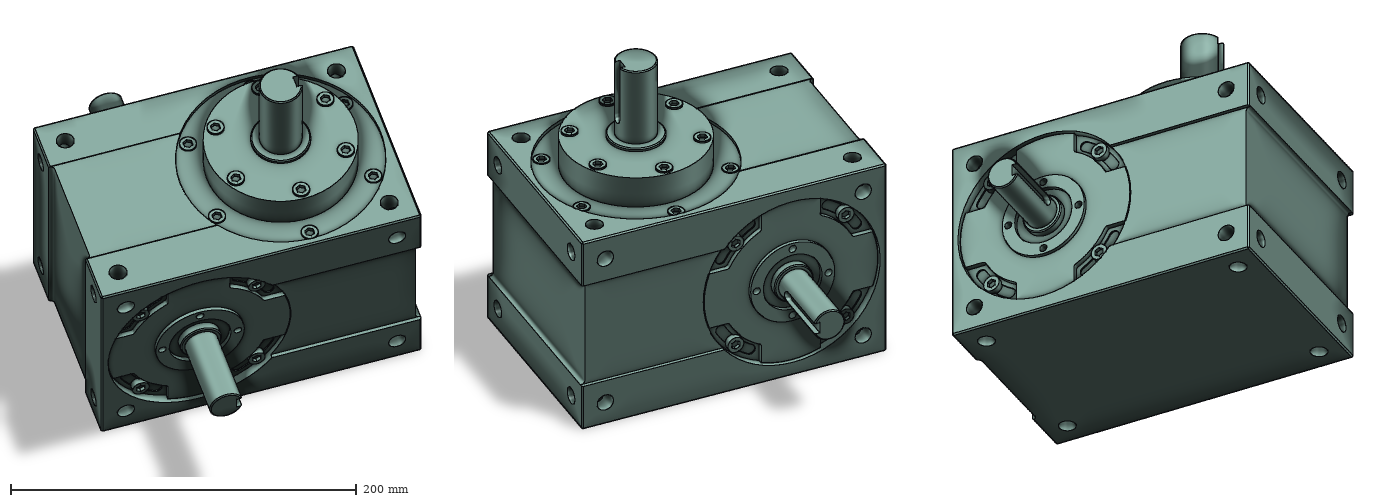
import cadquery as cq
import math


HOUSING_WIDTH = 130.0
HOUSING_LENGTH = 195.0
HOUSING_HEIGHT = 130.0
EDGE_CHAMFER = 1.0
SIDE_X = HOUSING_WIDTH / 2
TOP_Z = HOUSING_HEIGHT / 2
BACK_Y = HOUSING_WIDTH / 2
FRONT_Y = BACK_Y - HOUSING_LENGTH
CENTER_Y = (BACK_Y + FRONT_Y) / 2

CHANNEL_WIDTH = 70.0
END_CHANNEL_DEPTH = 3.0
CHANNEL_FILLET = 2.5
TOP_CHANNEL_DEPTH = 0.5
SIDE_CHANNEL_DEPTH = 2.3

MOUNT_INSET = 15.0
MOUNT_DIAMETER = 10.4
MOUNT_DEPTH = MOUNT_INSET

OUTPUT_TOP_Z = 200 - TOP_Z
OUTPUT_COVER_DIAMETER = 122
OUTPUT_COVER_RECESS = 2.3
OUTPUT_FLANGE_DIAMETER = 90.0
OUTPUT_FLANGE_HEIGHT = 18.0
FLANGE_TOP_Z = TOP_Z + OUTPUT_FLANGE_HEIGHT
OUTPUT_SHAFT_DIAMETER = 25.0
OUTPUT_COLLAR_DIAMETER = 35.0
FLANGE_SCREW_CIRCLE = 77.3
COVER_SCREW_CIRCLE = 110.0
OUTPUT_SCREW_COUNT = 6

INPUT_Y = -70.0
INPUT_SPAN = 230
INPUT_SHAFT_DIAMETER = 20.0
INPUT_COLLAR_DIAMETER = 25.0
INPUT_COVER_DIAMETER = 112.0
INPUT_COVER_CHAMFER = 0.5
INPUT_COVER_RECESS = SIDE_CHANNEL_DEPTH
INPUT_COVER_FACE_X = SIDE_X - INPUT_COVER_RECESS
HUB_RING_DIAMETER = 53.8
HUB_RING_HEIGHT = INPUT_COVER_RECESS
SEAL_RECESS_DIAMETER = 37.5
SEAL_RECESS_DEPTH = 0.5
HUB_HOLE_CIRCLE = 46
HUB_HOLE_DIAMETER = 4.5
HUB_HOLE_DEPTH = 7
QUARTER_ANGLES = (45, 135, 225, 315)

NOTCH_OFFSET = 18.9
NOTCH_RADIUS = 44.0
NOTCH_DEPTH = 3.2
NOTCH_FILLET = 2.0
SLOT_RADIUS = 50.0
SLOT_WIDTH = 6.5
SLOT_HALF_ANGLE = 15.5
SLOT_DEPTH = 1.0

SHAFT_CHAMFER = 0.7
COLLAR_HEIGHT = 2.0
COLLAR_CHAMFER = 0.7
KEY_WIDTH = 7.1
KEY_DEPTH = 4.0
KEY_LENGTH = 40.0
HEAD_DIAMETER = 10.1
HEAD_CHAMFER = 0.2
SOCKET_FLATS = 5.0
SOCKET_DIAMETER = SOCKET_FLATS / math.cos(math.pi / 6)
SOCKET_DEPTH = 2.3
FLANGE_HEAD_HEIGHT = 1.2
COVER_HEAD_HEIGHT = 0.7
NOTCH_HEAD_HEIGHT = NOTCH_DEPTH


def box(x_range, y_range, z_range):
    """Box spanning three (low, high) ranges."""
    size = [high - low for low, high in (x_range, y_range, z_range)]
    return cq.Workplane("XY").box(*size, centered=False).translate((x_range[0], y_range[0], z_range[0]))


def cylinder(diameter, z_low, z_high):
    """Upright cylinder on the Z axis."""
    return cq.Workplane("XY").workplane(offset=z_low).circle(diameter / 2).extrude(z_high - z_low)


def polar(radius, angle):
    return radius * math.cos(math.radians(angle)), radius * math.sin(math.radians(angle))


def around(shape, radius, angles):
    """Copies of a shape, each shifted to one angle on a circle about Z."""
    group = cq.Workplane("XY")
    for angle in angles:
        group = group.add(shape.translate((*polar(radius, angle), 0)))
    return group.combine()


def to_input_end(shape, side):
    """Turn a shape built about +Z so that it points along +X or -X on the input axis."""
    turned = shape.rotate((0, 0, 0), (0, 1, 0), 90)
    if side < 0:
        turned = turned.mirror("YZ")
    return turned.translate((0, INPUT_Y, 0))


def screw_head(seat_z, height):
    head = cylinder(HEAD_DIAMETER, seat_z - SOCKET_DEPTH, seat_z + height)
    return head.faces(">Z").chamfer(HEAD_CHAMFER)


def screw_socket(top_z):
    return cq.Workplane("XY").workplane(offset=top_z).polygon(6, SOCKET_DIAMETER).extrude(-SOCKET_DEPTH)


def collar(diameter, base_z, top_z):
    return cylinder(diameter, base_z, top_z).faces(">Z").chamfer(COLLAR_CHAMFER)


def keyway(shaft_diameter, end_z):
    """Open-ended key slot on the +Y side of an upright shaft, round at its lower end."""
    round_z = end_z - KEY_LENGTH + KEY_WIDTH / 2
    profile = (
        cq.Workplane("XZ", origin=(0, shaft_diameter / 2 - KEY_DEPTH, 0))
        .moveTo(KEY_WIDTH / 2, end_z)
        .lineTo(KEY_WIDTH / 2, round_z)
        .threePointArc((0, end_z - KEY_LENGTH), (-KEY_WIDTH / 2, round_z))
        .lineTo(-KEY_WIDTH / 2, end_z)
        .close()
    )
    return profile.extrude(-shaft_diameter)


def mounting_holes():
    """Holes into all six faces of the housing, four on each."""
    drill = cylinder(MOUNT_DIAMETER, -MOUNT_DEPTH, 0)
    drill_x = drill.rotate((0, 0, 0), (0, 1, 0), 90)
    drill_y = drill.rotate((0, 0, 0), (1, 0, 0), -90)
    half_length = HOUSING_LENGTH / 2
    hole_x = SIDE_X - MOUNT_INSET
    hole_y = half_length - MOUNT_INSET
    hole_z = TOP_Z - MOUNT_INSET
    corner = (
        drill.translate((hole_x, hole_y, TOP_Z))
        .add(drill_x.translate((SIDE_X, hole_y, hole_z)))
        .add(drill_y.translate((hole_x, half_length, hole_z)))
        .combine()
    )
    holes = corner.add(corner.mirror("YZ"))
    holes = holes.add(holes.mirror("XZ"))
    holes = holes.add(holes.mirror("XY"))
    return holes.translate((0, CENTER_Y, 0))


def channels():
    """Deep channels across both end faces, shallow ones along the top and both sides."""
    half = CHANNEL_WIDTH / 2
    across = (-half, half)
    full_x = (-SIDE_X, SIDE_X)
    full_z = (-TOP_Z, TOP_Z)
    front = box(across, (FRONT_Y, FRONT_Y + END_CHANNEL_DEPTH), full_z).edges("|Z and >Y").fillet(CHANNEL_FILLET)
    back = box(full_x, (BACK_Y - END_CHANNEL_DEPTH, BACK_Y), across).edges("|X and <Y").fillet(CHANNEL_FILLET)
    top = box(across, (FRONT_Y, 0), (TOP_Z - TOP_CHANNEL_DEPTH, TOP_Z))
    left = box((-SIDE_X, SIDE_CHANNEL_DEPTH - SIDE_X), (INPUT_Y, BACK_Y), across)
    return [front, back, top, left, left.mirror("YZ")]


def housing():
    body = box((-SIDE_X, SIDE_X), (FRONT_Y, BACK_Y), (-TOP_Z, TOP_Z)).edges().chamfer(EDGE_CHAMFER)
    for channel in channels():
        body = body.cut(channel)
    return body.cut(mounting_holes())


def add_output(body):
    """Recessed round cover, raised flange with screws, and the keyed output shaft."""
    cover_z = TOP_Z - OUTPUT_COVER_RECESS
    body = body.cut(cylinder(OUTPUT_COVER_DIAMETER, cover_z, TOP_Z))
    body = body.union(cylinder(OUTPUT_FLANGE_DIAMETER, 0, FLANGE_TOP_Z))
    angles = [360 * i / OUTPUT_SCREW_COUNT for i in range(OUTPUT_SCREW_COUNT)]
    rings = (
        (COVER_SCREW_CIRCLE / 2, cover_z, COVER_HEAD_HEIGHT),
        (FLANGE_SCREW_CIRCLE / 2, FLANGE_TOP_Z, FLANGE_HEAD_HEIGHT),
    )
    for radius, seat_z, height in rings:
        body = body.union(around(screw_head(seat_z, height), radius, angles))
        body = body.cut(around(screw_socket(seat_z + height), radius, angles))
    body = body.union(collar(OUTPUT_COLLAR_DIAMETER, TOP_Z, FLANGE_TOP_Z + COLLAR_HEIGHT))
    shaft = cylinder(OUTPUT_SHAFT_DIAMETER, 0, OUTPUT_TOP_Z).faces(">Z").chamfer(SHAFT_CHAMFER)
    return body.union(shaft.cut(keyway(OUTPUT_SHAFT_DIAMETER, OUTPUT_TOP_Z)))


def corner_notch():
    """Pocket open to the cover rim in the +X +Y quarter, bounded inside by an arc."""
    floor_z = INPUT_COVER_FACE_X - NOTCH_DEPTH
    reach = INPUT_COVER_DIAMETER / 2
    quarter = box((NOTCH_OFFSET, reach), (NOTCH_OFFSET, reach), (floor_z, INPUT_COVER_FACE_X))
    quarter = quarter.cut(cylinder(2 * NOTCH_RADIUS, floor_z, INPUT_COVER_FACE_X))
    arc_end = math.sqrt(NOTCH_RADIUS**2 - NOTCH_OFFSET**2)
    for corner in ((NOTCH_OFFSET, arc_end), (arc_end, NOTCH_OFFSET)):
        nearest = cq.selectors.NearestToPointSelector((*corner, floor_z + NOTCH_DEPTH / 2))
        quarter = quarter.edges(nearest).fillet(NOTCH_FILLET)
    return quarter.intersect(cylinder(INPUT_COVER_DIAMETER, floor_z, INPUT_COVER_FACE_X))


def adjusting_slot():
    """Curved slot in the notch floor, with round ends."""
    first = 45 - SLOT_HALF_ANGLE
    last = 45 + SLOT_HALF_ANGLE
    inner = SLOT_RADIUS - SLOT_WIDTH / 2
    outer = SLOT_RADIUS + SLOT_WIDTH / 2
    bottom_z = INPUT_COVER_FACE_X - NOTCH_DEPTH - SLOT_DEPTH
    band = (
        cq.Workplane("XY")
        .workplane(offset=bottom_z)
        .moveTo(*polar(inner, first))
        .threePointArc(polar(inner, 45), polar(inner, last))
        .lineTo(*polar(outer, last))
        .threePointArc(polar(outer, 45), polar(outer, first))
        .close()
        .extrude(SLOT_DEPTH)
    )
    end = cylinder(SLOT_WIDTH, bottom_z, bottom_z + SLOT_DEPTH)
    return band.union(around(end, SLOT_RADIUS, (first, last)))


def add_input_cover(body, side):
    """Recessed round cover with hub ring, notches, slots and screws."""
    face = INPUT_COVER_FACE_X
    notch_floor = face - NOTCH_DEPTH
    cover_base = notch_floor - SLOT_DEPTH
    cover = cylinder(INPUT_COVER_DIAMETER, cover_base, face).faces(">Z").chamfer(INPUT_COVER_CHAMFER)
    cover = cover.union(cylinder(HUB_RING_DIAMETER, cover_base, face + HUB_RING_HEIGHT))
    cover = cover.cut(cylinder(SEAL_RECESS_DIAMETER, face - SEAL_RECESS_DEPTH, face + HUB_RING_HEIGHT))
    hub_hole = cylinder(HUB_HOLE_DIAMETER, face - HUB_HOLE_DEPTH, face + HUB_RING_HEIGHT)
    cover = cover.cut(around(hub_hole, HUB_HOLE_CIRCLE / 2, (0, 90, 180, 270)))
    for angle in QUARTER_ANGLES:
        for pocket in (corner_notch(), adjusting_slot()):
            cover = cover.cut(pocket.rotate((0, 0, 0), (0, 0, 1), angle - 45))
    head = cylinder(HEAD_DIAMETER, cover_base, notch_floor + NOTCH_HEAD_HEIGHT)
    cover = cover.union(around(head, SLOT_RADIUS, QUARTER_ANGLES))
    cover = cover.cut(around(screw_socket(notch_floor + NOTCH_HEAD_HEIGHT), SLOT_RADIUS, QUARTER_ANGLES))
    bore = cylinder(INPUT_COVER_DIAMETER, cover_base, SIDE_X)
    return body.cut(to_input_end(bore, side)).union(to_input_end(cover, side))


def add_input_shaft_end(body, side):
    end = INPUT_SPAN / 2
    shaft = cylinder(INPUT_SHAFT_DIAMETER, 0, end).faces(">Z").chamfer(SHAFT_CHAMFER)
    shaft = shaft.cut(keyway(INPUT_SHAFT_DIAMETER, end))
    ring = collar(INPUT_COLLAR_DIAMETER, 0, SIDE_X + COLLAR_HEIGHT)
    return body.union(to_input_end(ring, side)).union(to_input_end(shaft, side))


result = add_output(housing())
for input_side in (-1, 1):
    result = add_input_cover(result, input_side)
    result = add_input_shaft_end(result, input_side)